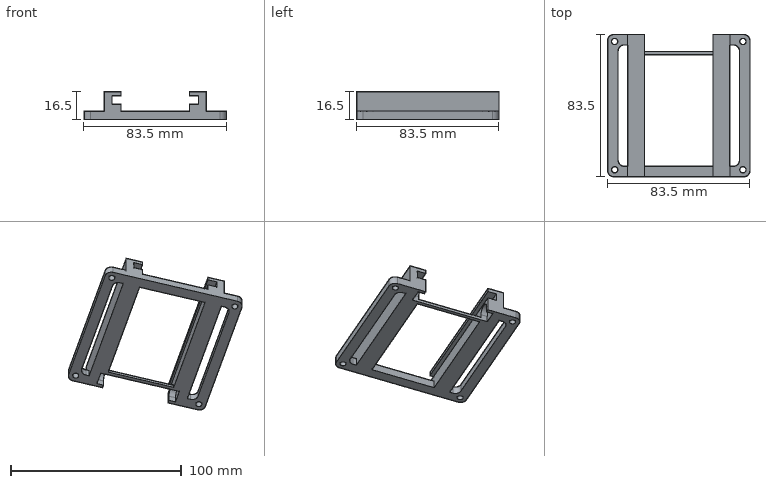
import cadquery as cq

side = 83.5
plate_height = 5.0
corner_radius = 3.75
border = 6.3
window_radius = 3.5
hole_diameter = 3.5
hole_inset = 4.2

total_height = 16.5
rail_outer_x = 30.0
rail_inner_x = 19.95
groove_wall_x = 25.3
groove_floor = 9.2
groove_roof = 14.0

bar_back_inset = 10.0
bar_width = 2.0
bar_height = 2.0
pocket_back_inset = 2.0
pocket_depth = 4.0

half = side / 2
window_side = side - 2 * border
bar_back_y = half - bar_back_inset


def block(x_min, x_max, y_min, y_max, height):
    """Box standing on the bottom plane."""
    size_x = x_max - x_min
    size_y = y_max - y_min
    return cq.Workplane("XY").box(size_x, size_y, height, centered=False).translate((x_min, y_min, 0))


def make_plate():
    plate = cq.Workplane("XY").rect(side, side).extrude(plate_height).edges("|Z").fillet(corner_radius)
    window = cq.Workplane("XY").rect(window_side, window_side).extrude(plate_height)
    window = window.edges("|Z").fillet(window_radius)
    hole_spacing = side - 2 * hole_inset
    holes = (
        cq.Workplane("XY")
        .rect(hole_spacing, hole_spacing, forConstruction=True)
        .vertices()
        .circle(hole_diameter / 2)
        .extrude(plate_height)
    )
    back_gap = block(-rail_inner_x, rail_inner_x, half - border, half, plate_height)
    return plate.cut(window).cut(holes).cut(back_gap)


def make_rail():
    """Right-hand rail: a C profile open towards the middle."""
    profile = [
        (rail_inner_x, 0),
        (rail_outer_x, 0),
        (rail_outer_x, total_height),
        (rail_inner_x, total_height),
        (rail_inner_x, groove_roof),
        (groove_wall_x, groove_roof),
        (groove_wall_x, groove_floor),
        (rail_inner_x, groove_floor),
    ]
    return cq.Workplane("XZ").polyline(profile).close().extrude(half, both=True)


def make_pocket():
    """Round-topped pocket in the right-hand rail, open to the middle and to the bottom."""
    pocket_back_y = half - pocket_back_inset
    radius = (pocket_back_y - bar_back_y) / 2
    arch_height = radius
    return (
        cq.Workplane("YZ", origin=(rail_inner_x, 0, 0))
        .moveTo(bar_back_y, 0)
        .lineTo(bar_back_y, arch_height)
        .threePointArc((bar_back_y + radius, arch_height + radius), (pocket_back_y, arch_height))
        .lineTo(pocket_back_y, 0)
        .close()
        .extrude(pocket_depth)
    )


cross_bar = block(-rail_inner_x, rail_inner_x, bar_back_y - bar_width, bar_back_y, bar_height)
right_rail = make_rail()
right_pocket = make_pocket()

frame = make_plate().union(right_rail).union(right_rail.mirror("YZ")).union(cross_bar)
result = frame.cut(right_pocket).cut(right_pocket.mirror("YZ"))